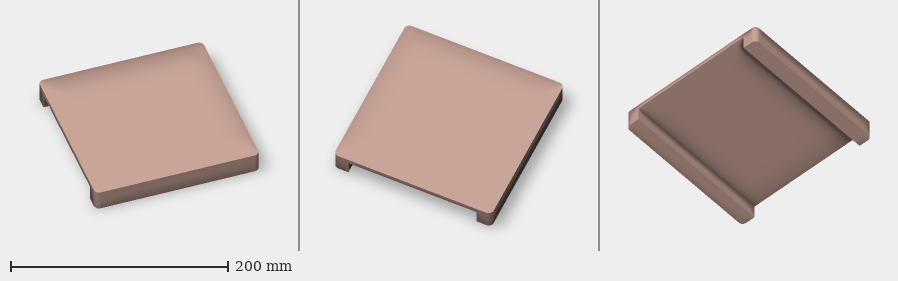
import cadquery as cq

side = 160.0
height = 20.0

plate_thickness = height / 4
corner_radius = plate_thickness
leg_width = 3 * plate_thickness

block = cq.Workplane("XY").box(side, side, height, centered=(True, True, False))
block = block.edges("|Z").fillet(corner_radius)

channel_width = side - 2 * leg_width
channel_depth = height - plate_thickness
channel = cq.Workplane("XY").box(channel_width, side, channel_depth, centered=(True, True, False))

result = block.cut(channel)